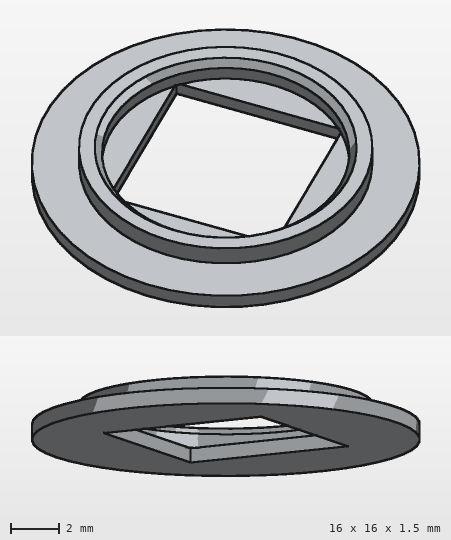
import cadquery as cq

flange_diameter = 16.0
flange_thickness = 0.65

total_height = 1.5
collar_diameter = 12.1

recess_diameter = 10.2
recess_floor_height = 0.6
mouth_chamfer = 0.3

square_side = 7.4


def make_body():
    """Flange disc with the collar standing on it."""
    flange = cq.Workplane("XY").circle(flange_diameter / 2).extrude(flange_thickness)
    collar = cq.Workplane("XY").circle(collar_diameter / 2).extrude(total_height)
    return flange.union(collar)


def make_recess():
    """Round recess from the collar top to the floor, flared at 45 degrees at its mouth."""
    recess_depth = total_height - recess_floor_height
    bore = (
        cq.Workplane("XY", origin=(0, 0, recess_floor_height))
        .circle(recess_diameter / 2)
        .extrude(recess_depth)
    )
    mouth = (
        cq.Workplane("XY", origin=(0, 0, total_height - mouth_chamfer))
        .circle(recess_diameter / 2)
        .workplane(offset=mouth_chamfer)
        .circle(recess_diameter / 2 + mouth_chamfer)
        .loft(ruled=True)
    )
    return bore.union(mouth)


def make_square_opening():
    """Square hole through the floor; its corners reach slightly under the recess wall."""
    return cq.Workplane("XY").rect(square_side, square_side).extrude(recess_floor_height)


result = make_body().cut(make_recess()).cut(make_square_opening())